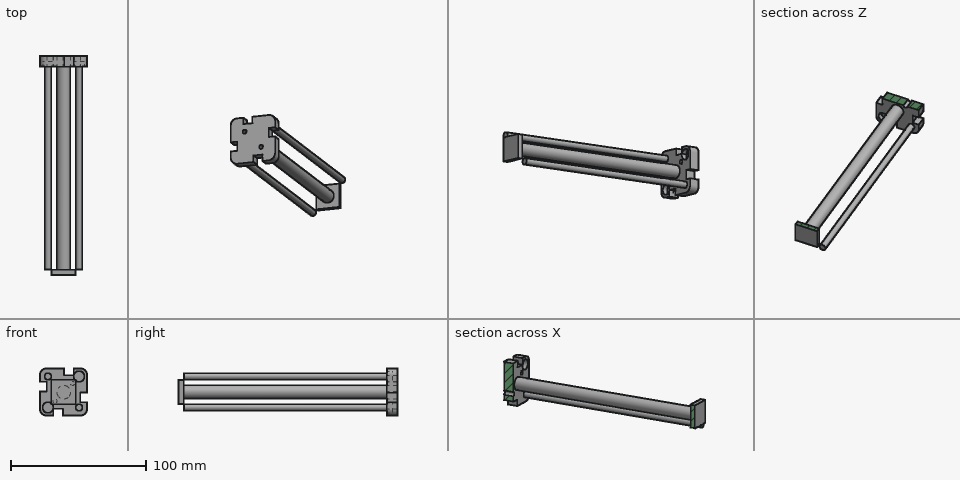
import cadquery as cq

plate_size = 35.0
plate_thickness = 8.0
corner_radius = 5.0

notch_width = 7.0
notch_depth = 5.0
notch_offset = 4.0

rod_length = 150.0
center_rod_diameter = 10.0
side_rod_diameter = 5.0

foot_size = 18.0
foot_thickness = 4.0

corner_offset = 11.5
socket_diameter = 8.0
socket_depth = 4.0

pin_hole_offset = 6.5
pin_hole_diameter = 3.0

side_count = 4
side_angle = 360.0 / side_count



def rising_diagonal(offset):
    """Points on the diagonal through the +X+Z and -X-Z corners."""
    return [(offset, offset), (-offset, -offset)]


def falling_diagonal(offset):
    """Points on the diagonal through the -X+Z and +X-Z corners."""
    return [(-offset, offset), (offset, -offset)]


def toward_foot(y_start=0.0):
    """XZ sketch plane at y_start; positive extrusion goes toward -Y."""
    return cq.Workplane("XZ", origin=(0, y_start, 0))


def make_notch(index):
    """Cutter for the notch in the top side, turned to the side given by index."""
    cutter = (
        toward_foot()
        .center(notch_offset, (plate_size - notch_depth) / 2)
        .rect(notch_width, notch_depth)
        .extrude(-plate_thickness)
    )
    return cutter.rotate((0, 0, 0), (0, 1, 0), index * side_angle)


def make_hole_pair(offset, diameter, depth):
    """Cutters for two opposite holes that enter the rod side of the plate."""
    return toward_foot().pushPoints(rising_diagonal(offset)).circle(diameter / 2).extrude(-depth)


def make_plate():
    plate = toward_foot().rect(plate_size, plate_size).extrude(-plate_thickness)
    plate = plate.edges("|Y").fillet(corner_radius)
    for index in range(side_count):
        plate = plate.cut(make_notch(index))
    plate = plate.cut(make_hole_pair(corner_offset, socket_diameter, socket_depth))
    return plate.cut(make_hole_pair(pin_hole_offset, pin_hole_diameter, plate_thickness))


def make_rods():
    center_rod = toward_foot().circle(center_rod_diameter / 2).extrude(rod_length)
    side_rods = (
        toward_foot()
        .pushPoints(falling_diagonal(corner_offset))
        .circle(side_rod_diameter / 2)
        .extrude(rod_length)
    )
    return center_rod.union(side_rods)


def make_foot():
    return toward_foot(-rod_length).rect(foot_size, foot_size).extrude(foot_thickness)


result = make_plate().union(make_rods()).union(make_foot())